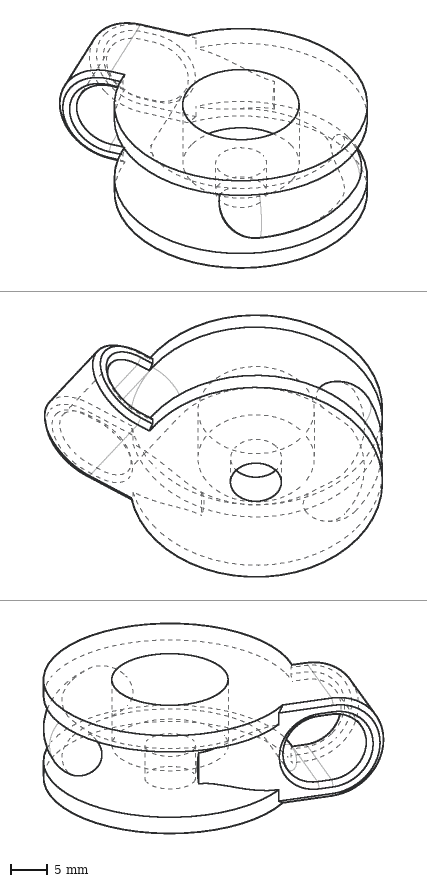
import cadquery as cq

thickness = 15.0
disc_radius = 17.388
groove_radius = 5.0
groove_floor_radius = disc_radius - groove_radius

bore_diameter = 16.0
bore_depth = 10.0
pin_hole_diameter = 7.0

overall_length = 44.3
hook_outer_radius = thickness / 2
hook_inner_radius = groove_radius
hook_center_x = disc_radius - overall_length + hook_outer_radius
body_end_x = 0
slot_end_x = -disc_radius
hook_width = 13.0
hook_chamfer = 0.75
bead_radius = groove_radius
bead_start_angle = -60
bead_sweep = 60
bead_keep_height = 9.3


def slot():
    """Round-ended slot through the hook; its inner end continues the groove straight along Y."""
    return (
        cq.Workplane("XZ")
        .moveTo(slot_end_x, hook_inner_radius)
        .lineTo(hook_center_x, hook_inner_radius)
        .threePointArc((hook_center_x - hook_inner_radius, 0), (hook_center_x, -hook_inner_radius))
        .lineTo(slot_end_x, -hook_inner_radius)
        .threePointArc((slot_end_x + hook_inner_radius, 0), (slot_end_x, hook_inner_radius))
        .close()
        .extrude(-hook_width)
    )


def hook():
    """Body with a half-round outer end from Y = 0 to the hook width, chamfered around both sides."""
    body = (
        cq.Workplane("XZ")
        .moveTo(body_end_x, hook_outer_radius)
        .lineTo(hook_center_x, hook_outer_radius)
        .threePointArc((hook_center_x - hook_outer_radius, 0), (hook_center_x, -hook_outer_radius))
        .lineTo(body_end_x, -hook_outer_radius)
        .close()
        .extrude(-hook_width)
    )
    return body.cut(slot()).faces("<Y or >Y").chamfer(hook_chamfer)


def groove():
    """Ring-shaped cut around the rim, left out where the hook body fills it."""
    ring = (
        cq.Workplane("XZ")
        .center(disc_radius, 0)
        .circle(groove_radius)
        .revolve(360, (-disc_radius, 0, 0), (-disc_radius, 1, 0))
    )
    hook_zone = cq.Workplane("XY").box(
        overall_length, hook_width, thickness, centered=(False, False, True)
    )
    return ring.cut(hook_zone.translate((body_end_x - overall_length, 0, 0)))


def half_ball():
    """Half ball on the +Y side of the groove floor point at angle zero."""
    ball = (
        cq.Workplane("XZ")
        .moveTo(0, -bead_radius)
        .threePointArc((bead_radius, 0), (0, bead_radius))
        .close()
        .revolve(180, (0, 0, 0), (0, 1, 0))
    )
    return ball.translate((groove_floor_radius, 0, 0))


def bead():
    """Ring segment along the groove floor with a half ball at each end."""
    segment = (
        cq.Workplane("XZ")
        .center(groove_floor_radius, 0)
        .circle(bead_radius)
        .revolve(bead_sweep, (-groove_floor_radius, 0, 0), (-groove_floor_radius, 1, 0))
        .rotate((0, 0, 0), (0, 0, 1), bead_start_angle)
    )
    bead_end_angle = bead_start_angle + bead_sweep
    start = half_ball().mirror("XZ").rotate((0, 0, 0), (0, 0, 1), bead_start_angle)
    end = half_ball().rotate((0, 0, 0), (0, 0, 1), bead_end_angle)
    keep = cq.Workplane("XY").circle(disc_radius + bead_radius).extrude(bead_keep_height / 2, both=True)
    return segment.union(start).union(end).intersect(keep)


def stepped_bore():
    """Large bore from the top face and a pin hole through the remaining floor."""
    pin_hole = cq.Workplane("XY").circle(pin_hole_diameter / 2).extrude(thickness, both=True)
    bore = (
        cq.Workplane("XY", origin=(0, 0, thickness / 2))
        .circle(bore_diameter / 2)
        .extrude(-bore_depth)
    )
    return pin_hole.union(bore)


disc = cq.Workplane("XY").circle(disc_radius).extrude(thickness / 2, both=True)
result = disc.union(hook()).cut(slot()).cut(groove()).union(bead()).cut(stepped_bore())